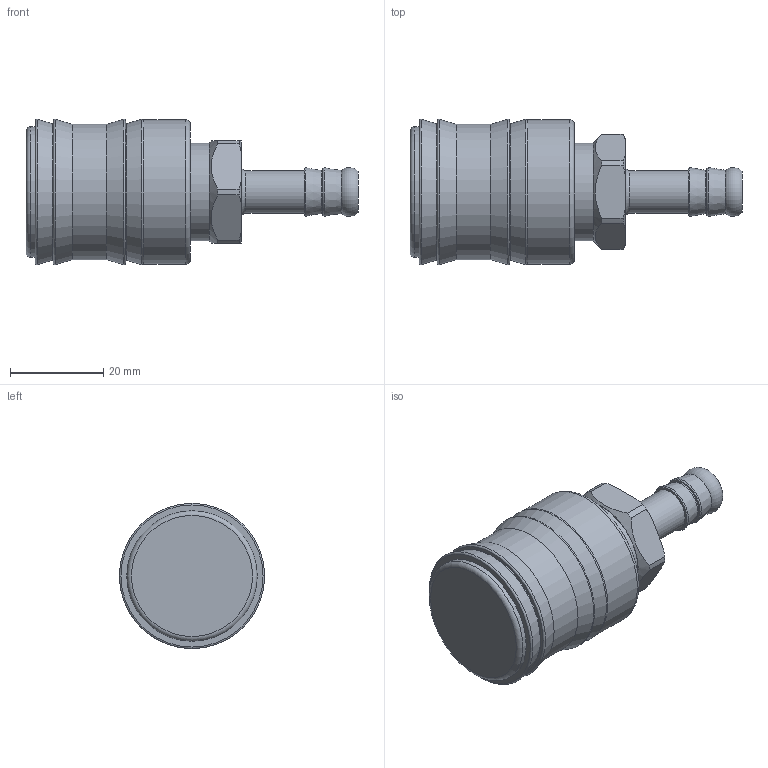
import cadquery as cq
import math


ARC_MIDDLE = 1 - math.sqrt(0.5)

BODY_END = 35.25
HEX_START = 39.35
HEX_END = 46.2
BARB_START = 59.65
BULB_START = 67.65
TOTAL_LENGTH = 71.23

FRONT_RADIUS = 28.0 / 2
BODY_RADIUS = 31.0 / 2
CREST_RADIUS = 31.2 / 2
WAIST_RADIUS = 29.0 / 2
EDGE_ROUND = 1.0
GRIP_MIDDLE = 13.6
INNER_FACE_OFFSET = 7.75
RIDGE_PITCH = 3.85
FLANK_ANGLE = math.radians(16.5)
CREST_ROUND = 0.35
REAR_CREST_BAND = 0.45
GROOVE_WIDTH = 0.2

NECK_RADIUS = 21.0 / 2
HEX_ACROSS_FLATS = 22.0
HEX_SIDES = 6
HEX_HALF_ANGLE = math.pi / HEX_SIDES
HEX_CORNER_RADIUS = 24.7 / 2
HEX_FRONT_RADIUS = 10.6
HEX_REAR_RADIUS = 11.5
HEX_REAR_ANGLE = math.radians(30.0)

STEM_RADIUS = 9.1 / 2
STEM_FILLET = 1.0
BARB_CREST_RADIUS = 5.25
BARB_FACE_RADIUS = 5.1
BARB_ROOT_RADIUS = 4.65
BARB_CREST_BAND = 0.3
BARB_PITCH = 4.0
BARB_GAP = 0.3
BULB_PEAK_X = 69.2
BULB_END_RADIUS = 4.4


def revolve_about_x(profile):
    """Turn a closed (x, radius) profile about the X axis."""
    return profile.close().revolve(360, (0, 0, 0), (1, 0, 0))


def make_sleeve():
    """Front cap, three rounded grip ridges, and a fourth that runs into the rear body."""
    slope = math.tan(FLANK_ANGLE)
    sharp_radius = CREST_RADIUS + CREST_ROUND * (
        math.cos(FLANK_ANGLE) + (1 + math.sin(FLANK_ANGLE)) * slope - 1
    )
    waist_offset = INNER_FACE_OFFSET - (sharp_radius - WAIST_RADIUS) / slope
    outer_offset = INNER_FACE_OFFSET + RIDGE_PITCH
    groove_radius = sharp_radius - (RIDGE_PITCH - GROOVE_WIDTH) * slope
    rear_crest_offset = outer_offset - (sharp_radius - CREST_RADIUS) / slope

    ridge = [
        (waist_offset, WAIST_RADIUS),
        (INNER_FACE_OFFSET, sharp_radius),
        (INNER_FACE_OFFSET, groove_radius),
        (INNER_FACE_OFFSET + GROOVE_WIDTH, groove_radius),
    ]
    front_ridge = [(GRIP_MIDDLE - offset, radius) for offset, radius in reversed(ridge)]
    rear_ridge = [(GRIP_MIDDLE + offset, radius) for offset, radius in ridge]
    round_middle = EDGE_ROUND * ARC_MIDDLE

    profile = cq.Workplane("XY").lineTo(0, FRONT_RADIUS - EDGE_ROUND)
    profile = profile.threePointArc(
        (round_middle, FRONT_RADIUS - round_middle), (EDGE_ROUND, FRONT_RADIUS)
    )
    profile = profile.lineTo(GRIP_MIDDLE - outer_offset, FRONT_RADIUS)
    profile = profile.lineTo(GRIP_MIDDLE - outer_offset, sharp_radius)
    for point in front_ridge + rear_ridge:
        profile = profile.lineTo(*point)
    rear_crest_x = GRIP_MIDDLE + rear_crest_offset
    profile = profile.lineTo(rear_crest_x, CREST_RADIUS)
    profile = profile.lineTo(rear_crest_x + REAR_CREST_BAND, BODY_RADIUS)
    profile = profile.lineTo(BODY_END - EDGE_ROUND, BODY_RADIUS)
    profile = profile.threePointArc(
        (BODY_END - round_middle, BODY_RADIUS - round_middle),
        (BODY_END, BODY_RADIUS - EDGE_ROUND),
    )
    sleeve = revolve_about_x(profile.lineTo(BODY_END, 0))
    return sleeve.edges(cq.selectors.RadiusNthSelector(-1)).fillet(CREST_ROUND)


def make_neck():
    """Plain cylinder joining the sleeve to the hexagon."""
    neck = cq.Workplane("YZ").workplane(offset=BODY_END)
    return neck.circle(NECK_RADIUS).extrude(HEX_START - BODY_END)


def make_hexagon():
    """Hexagon with corners on +/-Y, trimmed by a chamfered turned blank."""
    corner_diameter = HEX_ACROSS_FLATS / math.cos(HEX_HALF_ANGLE)
    prism = (
        cq.Workplane("YZ")
        .workplane(offset=HEX_START)
        .polygon(HEX_SIDES, corner_diameter)
        .extrude(HEX_END - HEX_START)
    )
    front_chamfer = HEX_CORNER_RADIUS - HEX_FRONT_RADIUS
    rear_chamfer = (HEX_CORNER_RADIUS - HEX_REAR_RADIUS) * math.tan(HEX_REAR_ANGLE)
    blank = revolve_about_x(
        cq.Workplane("XY")
        .moveTo(HEX_START, 0)
        .lineTo(HEX_START, HEX_FRONT_RADIUS)
        .lineTo(HEX_START + front_chamfer, HEX_CORNER_RADIUS)
        .lineTo(HEX_END - rear_chamfer, HEX_CORNER_RADIUS)
        .lineTo(HEX_END, HEX_REAR_RADIUS)
        .lineTo(HEX_END, 0)
    )
    return prism.intersect(blank)


def make_barb():
    """Hose stem with a root fillet, two barbs and a rounded end bulb."""
    second_barb = BARB_START + BARB_PITCH
    fillet_middle = STEM_FILLET * ARC_MIDDLE
    profile = (
        cq.Workplane("XY")
        .moveTo(HEX_END, 0)
        .lineTo(HEX_END, STEM_RADIUS + STEM_FILLET)
        .threePointArc(
            (HEX_END + fillet_middle, STEM_RADIUS + fillet_middle),
            (HEX_END + STEM_FILLET, STEM_RADIUS),
        )
    )
    barbs = [
        (BARB_START, STEM_RADIUS, second_barb - BARB_GAP),
        (second_barb, BARB_ROOT_RADIUS, BULB_START),
    ]
    for face_x, foot_radius, root_x in barbs:
        profile = (
            profile.lineTo(face_x, foot_radius)
            .lineTo(face_x, BARB_FACE_RADIUS)
            .lineTo(face_x + BARB_CREST_BAND, BARB_CREST_RADIUS)
            .lineTo(root_x, BARB_ROOT_RADIUS)
        )
    profile = profile.threePointArc(
        (BULB_PEAK_X, BARB_CREST_RADIUS), (TOTAL_LENGTH, BULB_END_RADIUS)
    )
    return revolve_about_x(profile.lineTo(TOTAL_LENGTH, 0))


result = make_sleeve().union(make_neck()).union(make_hexagon()).union(make_barb())